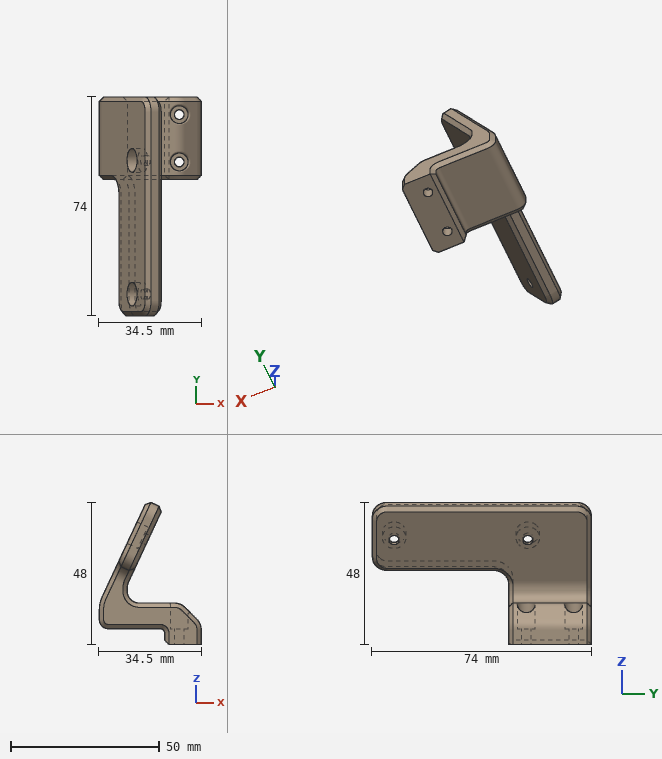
import cadquery as cq
import math

length = 74.0
foot_width = 28.0
foot_depth = 34.5
total_height = 48.0

foot_top = 14.05
ledge_height = 5.3
pad_start = 22.05
slope_drop = 7.0
crotch_x = 9.5

lean = 25.0
plate_thickness = 6.0
arm_width = 24.0

edge_chamfer = 1.5
corner_radius = 5.0
slope_radius = 5.0
heel_radius = 3.0
ledge_radius = 1.5
crotch_radius = 4.0
plate_back_radius = 6.0
plate_front_radius = 10.0

plate_hole = 3.4
plate_bore = 8.0
plate_bore_depth = 4.0
plate_hole_inset = 7.4
plate_hole_spacing = 45.15

foot_hole = 3.2
foot_bore = 6.0
foot_bore_rounding = 0.5
foot_bore_floor = ledge_height
foot_hole_inset = 6.0
foot_hole_x = 27.0
selection_margin = 0.1

sin_lean = math.sin(math.radians(lean))
cos_lean = math.cos(math.radians(lean))
tan_lean = math.tan(math.radians(lean))

plate_reach = (total_height - foot_top + edge_chamfer * sin_lean) / cos_lean
arm_bottom = plate_reach - arm_width
arm_centre = plate_reach - arm_width / 2
free_end = foot_width - length
back_offset = plate_thickness / cos_lean
crotch_top = foot_top + (crotch_x - back_offset) / tan_lean

plate_plane = cq.Plane(
    origin=(0, 0, foot_top),
    xDir=(0, -1, 0),
    normal=(-cos_lean, 0, sin_lean),
)


def rounded_outline(plane, corners):
    """Closed wire through (x, y, radius) corners; a zero radius leaves the corner sharp."""
    count = len(corners)
    sketch = cq.Workplane(plane)
    for i, (x, y, radius) in enumerate(corners):
        corner = cq.Vector(x, y)
        to_previous = (cq.Vector(*corners[i - 1][:2]) - corner).normalized()
        to_next = (cq.Vector(*corners[(i + 1) % count][:2]) - corner).normalized()
        half_angle = to_previous.getAngle(to_next) / 2
        setback = radius / math.tan(half_angle)
        arc_start = corner + to_previous * setback
        draw_to = sketch.moveTo if i == 0 else sketch.lineTo
        sketch = draw_to(arc_start.x, arc_start.y)
        if radius:
            inward = (to_previous + to_next).normalized()
            arc_middle = corner + inward * (radius / math.sin(half_angle) - radius)
            arc_end = corner + to_next * setback
            sketch = sketch.threePointArc((arc_middle.x, arc_middle.y), (arc_end.x, arc_end.y))
    return sketch.close()


def side_profile():
    """Foot and leaning plate in the XZ plane, extruded over the full length."""
    tip_x = plate_reach * sin_lean
    tip_z = foot_top + plate_reach * cos_lean
    corners = [
        (pad_start, 0, 0),
        (pad_start, ledge_height, ledge_radius),
        (0, ledge_height, heel_radius),
        (0, foot_top, plate_front_radius),
        (tip_x, tip_z, 0),
        (tip_x + plate_thickness * cos_lean, tip_z - plate_thickness * sin_lean, 0),
        (crotch_x, crotch_top, plate_back_radius),
        (crotch_x, foot_top, crotch_radius),
        (foot_depth - slope_drop, foot_top, slope_radius),
        (foot_depth, foot_top - slope_drop, slope_radius),
        (foot_depth, 0, 0),
    ]
    plane = cq.Plane(origin=(0, foot_width, 0), xDir=(1, 0, 0), normal=(0, -1, 0))
    return rounded_outline(plane, corners).extrude(length)


def plate_envelope():
    """L-shaped plate outline with round corners, extruded through the plate."""
    below_foot = -foot_top
    corners = [
        (-foot_width, below_foot, 0),
        (-foot_width, plate_reach, corner_radius),
        (-free_end, plate_reach, corner_radius),
        (-free_end, arm_bottom, corner_radius),
        (0, arm_bottom, corner_radius),
        (0, below_foot, 0),
    ]
    depth = crotch_x * cos_lean
    return rounded_outline(plate_plane, corners).extrude(-depth)


def foot_envelope():
    """Block holding the foot, up to the plate and clear of its rounded top corners."""
    return cq.Workplane("XY").box(foot_depth, foot_width, crotch_top, centered=False)


def chamfer_rims(body):
    """Bevel the front and back rims, each a tangent chain through an edge of the top end."""
    top_end = body.faces(cq.selectors.DirectionMinMaxSelector(plate_plane.yDir, True))
    return top_end.edges("|Y").chamfer(edge_chamfer)


def pad_edge_cutter():
    """Wedge that bevels the lower inner edge of the pad across its full width."""
    return (
        cq.Workplane("XZ", origin=(pad_start, foot_width, 0))
        .polyline([(0, 0), (edge_chamfer, 0), (0, edge_chamfer)])
        .close()
        .extrude(foot_width)
    )


def plate_hole_cutter():
    """Stepped hole through the plate, sunk from its front face."""
    outer_hole = -free_end - plate_hole_inset
    centres = [
        (outer_hole, arm_centre),
        (outer_hole - plate_hole_spacing, arm_centre),
    ]
    holes = cq.Workplane(plate_plane).pushPoints(centres)
    through = holes.circle(plate_hole / 2).extrude(-plate_thickness)
    bores = holes.circle(plate_bore / 2).extrude(-plate_bore_depth)
    return through.union(bores)


def bore_foot(body):
    """Vertical stepped holes through the pad, with rounded mouths across the top and the slope."""
    centres = [
        (foot_hole_x, foot_hole_inset),
        (foot_hole_x, foot_width - foot_hole_inset),
    ]
    holes = cq.Workplane("XY").pushPoints(centres)
    through = holes.circle(foot_hole / 2).extrude(foot_top)
    bores = holes.circle(foot_bore / 2).extrude(foot_top).translate((0, 0, foot_bore_floor))
    body = body.cut(bores)

    mouth_reach = foot_bore / 2 + selection_margin
    for x, y in centres:
        around_mouth = cq.selectors.BoxSelector(
            (x - mouth_reach, y - mouth_reach, foot_bore_floor + selection_margin),
            (x + mouth_reach, y + mouth_reach, foot_top + selection_margin),
        )
        body = body.edges(around_mouth).edges("not |Z").fillet(foot_bore_rounding)
    return body.cut(through)


body = side_profile().intersect(plate_envelope().union(foot_envelope()))
body = chamfer_rims(body)
body = body.cut(pad_edge_cutter())
body = body.cut(plate_hole_cutter())
result = bore_foot(body)